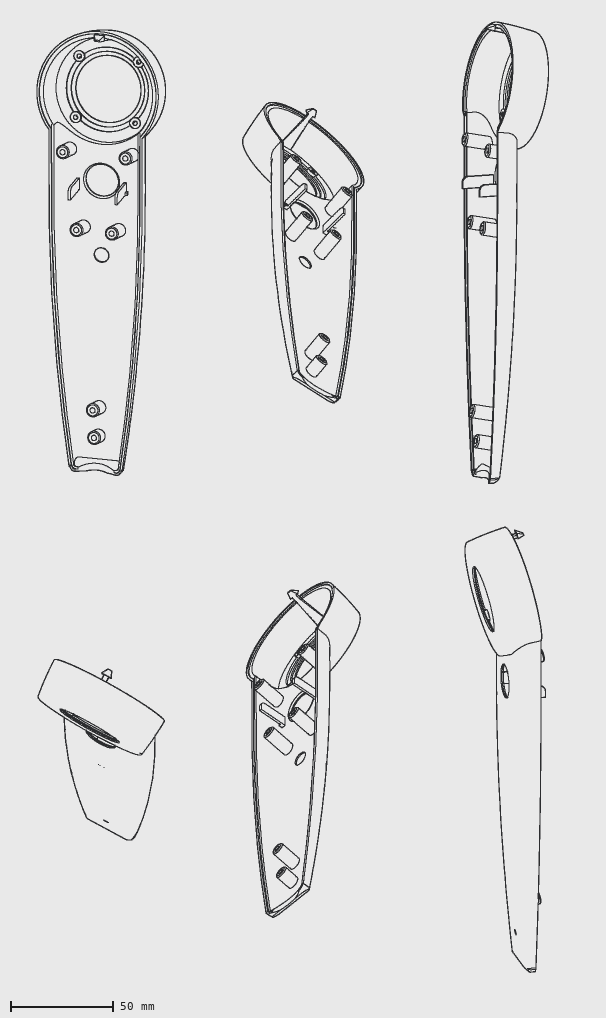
import cadquery as cq
import math


ARM_BOTTOM_Z = -113.5
ARM_TOP_Z = 66.0
ARM_STRAIGHT_Z = 32.0
ARM_TOP_HALF_WIDTH = 23.8
ARM_DEPTH = 12.3
ARM_SIDE_RADIUS = 1000.0
ARM_BACK_RADIUS = 1600.0
ARM_WALL = 2.3
ARM_FLOOR = 1.5
ARM_CORNER_RADIUS = 3.0
ARM_ROUND_SHARE = 0.6
ARM_SECTIONS = 6
END_CHAMFER = 3.4
END_SCOOP_RADIUS = 20.0
END_SCOOP_DEPTH = 3.0

LIP_WIDTH = 1.1
LIP_DEPTH = 0.8

TILT = 12.0
RING_CENTRE_Y = 3.64
RING_CENTRE_Z = 83.18
RING_RADIUS = 30.97
RING_MID_RADIUS = 30.35
RING_REAR_RADIUS = 29.1
RING_DEPTH = 20.0
RING_REAR_ROUND = 0.8
RING_FLOOR = 2.6
RING_INNER_RADIUS = 27.9
RING_FLOOR_RADIUS = 26.1
OPENING_RADIUS = 16.6
SEAT_RADIUS = 18.7
SEAT_DEPTH = 1.8
RECESS_RADIUS = 20.9
RECESS_DEPTH = 1.0
RING_BOSS_SPACING = 30.3
RING_BOSS_RADIUS = 2.7
RING_BOSS_HOLE_RADIUS = 1.1
RING_BOSS_HEIGHT = 0.6

HOOK_ROOT_WIDTH = 6.5
HOOK_NECK_WIDTH = 2.6
HOOK_HEAD_WIDTH = 5.2
HOOK_TIP_WIDTH = 2.2
HOOK_ROOT_RADIUS = 25.5
HOOK_FRONT_RADIUS = 26.9
HOOK_NECK_THICKNESS = 1.3
HOOK_TIP_THICKNESS = 0.7
HOOK_BARB_RADIUS = 29.6
HOOK_REACH = 6.4
HOOK_HEAD_LENGTH = 3.4

BOSSES = [
    (-16.0, 53.5, -2.8),
    (16.0, 53.5, -2.8),
    (-9.0, 13.6, -2.8),
    (9.0, 13.6, -2.8),
    (0.0, -78.7, -5.08),
    (0.0, -93.9, -2.8),
]
BOSS_RADIUS = 3.3
BOSS_TIP_CHAMFER = 0.6
BOSS_HOLE_RADIUS = 1.3
BOSS_HOLE_DEPTH = 10.0

CABLE_HOLE_Z = 35.4
CABLE_HOLE_RADIUS = 8.3
CABLE_HOLE_CHAMFER = 0.9
FIN_X = 11.95
FIN_THICKNESS = 1.2
FIN_BOTTOM_Z = 29.8
FIN_HEIGHT = 5.9
FIN_TIP_Y = -5.1
FIN_ROUND = 2.8
FIN_FOOT_WIDTH = 1.0
FIN_FOOT_RISE = 1.4
FIN_FOOT_HEIGHT = 2.0
MARK_Z = -3.2
MARK_RADIUS = 3.7
MARK_DEPTH = 0.4

tilt = math.radians(TILT)
ring_axis = cq.Vector(0, math.cos(tilt), -math.sin(tilt))
ring_plane = cq.Plane(
    origin=(0, RING_CENTRE_Y, RING_CENTRE_Z), xDir=(-1, 0, 0), normal=ring_axis.toTuple()
)


def arc_drop(radius, length):
    """Sideways drop of an arc, tangent at its start, after the given length."""
    return radius - math.sqrt(radius**2 - length**2)


def place_on_ring(body):
    """Move a body from ring coordinates (Z along the ring axis, Y up) into the part."""
    return body.moved(cq.Location(ring_plane))


def ring_cylinder(radius, start, end):
    return place_on_ring(cq.Workplane("XY", origin=(0, 0, start)).circle(radius).extrude(end - start).val())


def arm_section(z, inset, back_inset):
    """Cross section of the arm at height z, with rounded back edges, as a closed wire."""
    curved_length = max(ARM_STRAIGHT_Z - z, 0)
    half = ARM_TOP_HALF_WIDTH - inset - arc_drop(ARM_SIDE_RADIUS, curved_length)
    outer_depth = ARM_DEPTH - arc_drop(ARM_BACK_RADIUS, curved_length)
    depth = outer_depth - back_inset
    radius = ARM_ROUND_SHARE * outer_depth - (inset + back_inset) / 2
    flat_half = half - radius
    wall = depth - radius
    diagonal = radius * math.sqrt(0.5)
    profile = (
        cq.Workplane("XY", origin=(0, 0, z))
        .moveTo(-half, 0)
        .lineTo(half, 0)
        .lineTo(half, wall)
        .threePointArc((flat_half + diagonal, wall + diagonal), (flat_half, depth))
        .lineTo(-flat_half, depth)
        .threePointArc((-flat_half - diagonal, wall + diagonal), (-half, wall))
        .close()
    )
    return profile.val()


def arm_block(inset, back_inset):
    """Arm body moved inward by inset at sides and lower end and by back_inset at the back."""
    bottom = ARM_BOTTOM_Z + inset
    step = (ARM_TOP_Z - bottom) / (ARM_SECTIONS - 1)
    sections = [arm_section(ARM_TOP_Z - i * step, inset, back_inset) for i in range(ARM_SECTIONS)]
    block = cq.Workplane(cq.Solid.makeLoft(sections, False))
    curved_length = ARM_STRAIGHT_Z - bottom
    end_half = ARM_TOP_HALF_WIDTH - inset - arc_drop(ARM_SIDE_RADIUS, curved_length)
    end_depth = ARM_DEPTH - back_inset - arc_drop(ARM_BACK_RADIUS, curved_length)
    corner = max(ARM_CORNER_RADIUS - inset, LIP_WIDTH)

    for side in (-1, 1):
        corner_cut = (
            cq.Workplane("XZ")
            .moveTo(side * (end_half - corner), bottom)
            .radiusArc((side * end_half, bottom + corner), -side * corner)
            .lineTo(side * (end_half + corner), bottom - corner)
            .close()
            .extrude(-ARM_DEPTH)
        )
        block = block.cut(corner_cut)
    end_cut = (
        cq.Workplane("YZ")
        .moveTo(end_depth - END_CHAMFER, bottom)
        .lineTo(end_depth + END_CHAMFER, bottom + 2 * END_CHAMFER)
        .lineTo(end_depth + END_CHAMFER, bottom)
        .close()
        .extrude(ARM_TOP_HALF_WIDTH, both=True)
    )
    return block.cut(end_cut)


def ring_outer():
    """Crowned outer body of the ring with a rounded rear edge."""
    body = (
        cq.Workplane("XZ")
        .lineTo(RING_RADIUS, 0)
        .threePointArc((RING_MID_RADIUS, RING_DEPTH / 2), (RING_REAR_RADIUS, RING_DEPTH))
        .lineTo(0, RING_DEPTH)
        .close()
        .revolve(360, (0, 0, 0), (0, 1, 0))
        .faces(">Z")
        .edges()
        .fillet(RING_REAR_ROUND)
    )
    in_front_of_arm = cq.Workplane("XY").box(100, 50, 100).translate((0, -25, RING_CENTRE_Z - 50))
    return cq.Workplane(place_on_ring(body.val())).cut(in_front_of_arm)


def ring_cavity():
    """Tapered space in front of the ring floor."""
    floor = RING_DEPTH - RING_FLOOR
    body = (
        cq.Workplane("XZ")
        .lineTo(RING_INNER_RADIUS, 0)
        .lineTo(RING_FLOOR_RADIUS, floor)
        .lineTo(0, floor)
        .close()
        .revolve(360, (0, 0, 0), (0, 1, 0))
    )
    return place_on_ring(body.val())


def ring_floor_bosses():
    """Four low screw bosses around the opening."""
    start = RING_DEPTH - RING_FLOOR - RING_BOSS_HEIGHT
    bosses = (
        cq.Workplane("XY", origin=(0, 0, start))
        .rect(RING_BOSS_SPACING, RING_BOSS_SPACING, forConstruction=True)
        .vertices()
    )
    body = bosses.circle(RING_BOSS_RADIUS).circle(RING_BOSS_HOLE_RADIUS)
    return place_on_ring(body.extrude(RING_BOSS_HEIGHT + RECESS_DEPTH).val())


def snap_hook():
    """Rib on the inner ring wall that runs forward into a barbed tongue."""
    floor = RING_DEPTH - RING_FLOOR
    side = (
        cq.Workplane("YZ")
        .moveTo(HOOK_ROOT_RADIUS, floor)
        .lineTo(HOOK_FRONT_RADIUS, -HOOK_REACH)
        .lineTo(HOOK_FRONT_RADIUS + HOOK_TIP_THICKNESS, -HOOK_REACH)
        .lineTo(HOOK_BARB_RADIUS, HOOK_HEAD_LENGTH - HOOK_REACH)
        .lineTo(HOOK_FRONT_RADIUS + HOOK_NECK_THICKNESS, HOOK_HEAD_LENGTH - HOOK_REACH)
        .lineTo(HOOK_FRONT_RADIUS + HOOK_NECK_THICKNESS, floor)
        .close()
        .extrude(HOOK_ROOT_WIDTH, both=True)
    )
    half_plan = [
        (HOOK_ROOT_WIDTH / 2, floor),
        (HOOK_NECK_WIDTH / 2, 0),
        (HOOK_NECK_WIDTH / 2, HOOK_HEAD_LENGTH - HOOK_REACH),
        (HOOK_HEAD_WIDTH / 2, HOOK_HEAD_LENGTH - HOOK_REACH),
        (HOOK_TIP_WIDTH / 2, -HOOK_REACH),
    ]
    mirrored = [(-x, z) for x, z in reversed(half_plan)]
    plan = cq.Workplane("XZ").polyline(half_plan + mirrored).close().extrude(-RING_RADIUS)
    return place_on_ring(side.intersect(plan).val())


def lip_rebate():
    """Step along the inner edge of the arm and ring rims."""
    inset = ARM_WALL - LIP_WIDTH
    slab = cq.Workplane("XY").box(100, 2 * LIP_DEPTH, 400)
    ring_step = ring_cylinder(RING_RADIUS - inset, 0, LIP_DEPTH)
    return arm_block(inset, 0).intersect(slab).union(cq.Workplane(ring_step))


def end_scoop():
    """Arched opening through the lower end wall."""
    centre_y = END_SCOOP_DEPTH - END_SCOOP_RADIUS
    bottom = ARM_BOTTOM_Z - 1
    return (
        cq.Workplane("XY", origin=(0, centre_y, bottom))
        .circle(END_SCOOP_RADIUS)
        .extrude(ARM_WALL + 1 + END_CHAMFER)
    )


def cable_hole():
    """Through hole whose inner edge is bevelled at the arm floor."""
    floor_y = ARM_DEPTH - ARM_FLOOR
    start = cq.Workplane("XZ", origin=(0, floor_y, CABLE_HOLE_Z))
    bore = start.circle(CABLE_HOLE_RADIUS).extrude(-2 * ARM_FLOOR)
    mouth = start.circle(CABLE_HOLE_RADIUS + CABLE_HOLE_CHAMFER).extrude(ARM_FLOOR)
    bevel = cq.Solid.makeCone(
        CABLE_HOLE_RADIUS + CABLE_HOLE_CHAMFER,
        CABLE_HOLE_RADIUS,
        CABLE_HOLE_CHAMFER,
        cq.Vector(0, floor_y, CABLE_HOLE_Z),
        cq.Vector(0, 1, 0),
    )
    return bore.union(mouth).union(cq.Workplane(bevel))


def floor_mark():
    """Shallow round recess in the arm floor."""
    floor_y = ARM_DEPTH - ARM_FLOOR
    return cq.Workplane("XZ", origin=(0, floor_y + MARK_DEPTH, MARK_Z)).circle(MARK_RADIUS).extrude(ARM_FLOOR)


def boss_plane(x, tip_z, tip_y):
    return cq.Plane(origin=(x, tip_y, tip_z), xDir=(1, 0, 0), normal=ring_axis.toTuple())


def arm_boss(x, tip_z, tip_y):
    """Round boss from its chamfered tip to beyond the arm back."""
    pin = cq.Workplane(boss_plane(x, tip_z, tip_y)).circle(BOSS_RADIUS).extrude(2 * ARM_DEPTH)
    return pin.faces("<Y").chamfer(BOSS_TIP_CHAMFER)


def boss_hole(x, tip_z, tip_y):
    return cq.Workplane(boss_plane(x, tip_z, tip_y)).circle(BOSS_HOLE_RADIUS).extrude(BOSS_HOLE_DEPTH)


def fin(x):
    """Upright tongue with one rounded corner at its upper tip and a low foot beside it."""
    profile = (
        cq.Workplane("YZ", origin=(x - FIN_THICKNESS / 2, 0, 0))
        .moveTo(ARM_DEPTH, FIN_BOTTOM_Z)
        .lineTo(FIN_TIP_Y, FIN_BOTTOM_Z)
        .lineTo(FIN_TIP_Y, FIN_BOTTOM_Z + FIN_HEIGHT - FIN_ROUND)
        .radiusArc((FIN_TIP_Y + FIN_ROUND, FIN_BOTTOM_Z + FIN_HEIGHT), FIN_ROUND)
        .lineTo(ARM_DEPTH, FIN_BOTTOM_Z + FIN_HEIGHT)
        .close()
    )
    foot_depth = ARM_FLOOR + FIN_FOOT_HEIGHT
    foot = cq.Workplane("XY").box(FIN_FOOT_WIDTH, foot_depth, FIN_FOOT_RISE).translate(
        (
            math.copysign(abs(x) + (FIN_THICKNESS + FIN_FOOT_WIDTH) / 2, x),
            ARM_DEPTH - foot_depth / 2,
            FIN_BOTTOM_Z + FIN_FOOT_RISE / 2,
        )
    )
    return profile.extrude(FIN_THICKNESS).union(foot)


def build():
    arm = arm_block(0, 0)
    arm_cavity = arm_block(ARM_WALL, ARM_FLOOR)
    outer = arm.union(ring_outer())

    details = cq.Workplane(ring_floor_bosses())
    for boss in BOSSES:
        details = details.union(arm_boss(*boss))
    for x in (-FIN_X, FIN_X):
        details = details.union(fin(x))
    in_front = cq.Workplane("XY").box(100, 100, 400).translate((0, -50, 0))
    details = details.intersect(outer.union(in_front))

    shell = outer.cut(arm_cavity).cut(cq.Workplane(ring_cavity()))
    ring_floor = RING_DEPTH - RING_FLOOR
    shell = shell.cut(cq.Workplane(ring_cylinder(RECESS_RADIUS, ring_floor, ring_floor + RECESS_DEPTH)))
    shell = shell.cut(cq.Workplane(ring_cylinder(SEAT_RADIUS, ring_floor, ring_floor + SEAT_DEPTH)))
    shell = shell.cut(cq.Workplane(ring_cylinder(OPENING_RADIUS, ring_floor, RING_DEPTH + 1)))

    for cutter in (lip_rebate(), end_scoop(), cable_hole(), floor_mark()):
        shell = shell.cut(cutter)

    part = shell.union(details).union(cq.Workplane(snap_hook()))
    for boss in BOSSES:
        part = part.cut(boss_hole(*boss))
    return part


result = build()